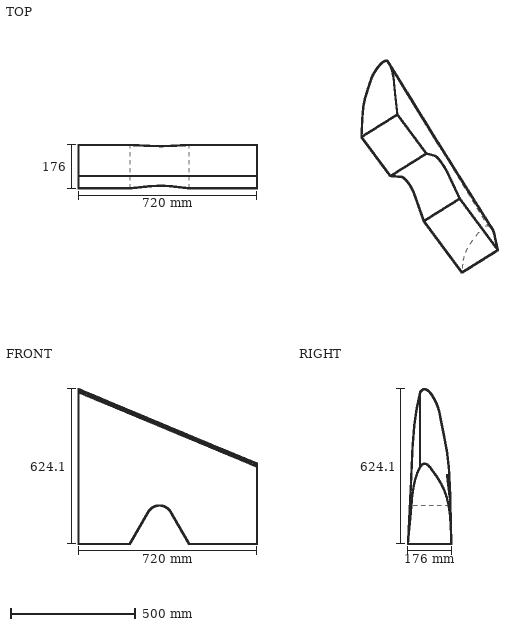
import cadquery as cq
import math

length = 720.0
width = 176.0
tall_height = 624.0
short_height = 324.0

ridge_y = -22.0
crease_y = -38.0
crease_drop = 11.5
shoulder_y = 14.5
shoulder_drop = 32.0

back_flank = [(50.0, 0.81), (69.0, 0.64), (83.0, 0.36)]
front_flank = [(-57.0, 0.85), (-75.5, 0.405), (-82.0, 0.2)]

notch_center_x = 327.0
notch_width = 239.0
notch_half_angle = math.radians(30)
notch_radius = 52.0


def end_profile(x, height):
    """Cross-section at one end: flat base, two curved flanks and a rounded nose."""
    shoulder_z = height - shoulder_drop
    crease_z = height - crease_drop
    back_points = [(width / 2, 0)]
    back_points += [(y, share * shoulder_z) for y, share in reversed(back_flank)]
    back_points += [(shoulder_y, shoulder_z), (ridge_y, height), (crease_y, crease_z)]
    front_points = [(y, share * crease_z) for y, share in front_flank]
    front_points.append((-width / 2, 0))
    profile = (
        cq.Workplane("YZ", origin=(x, 0, 0))
        .moveTo(*back_points[0])
        .spline(back_points[1:], includeCurrent=True)
        .spline(front_points, includeCurrent=True)
        .close()
    )
    return profile.val()


def notch():
    """Cutter with sloping sides tangent to a round top."""
    half_width = notch_width / 2
    apex_z = half_width / math.tan(notch_half_angle)
    arc_center_z = apex_z - notch_radius / math.sin(notch_half_angle)
    tangent_x = notch_radius * math.cos(notch_half_angle)
    tangent_z = arc_center_z + notch_radius * math.sin(notch_half_angle)
    return (
        cq.Workplane("XZ", origin=(notch_center_x, 0, 0))
        .moveTo(-half_width, 0)
        .lineTo(-tangent_x, tangent_z)
        .threePointArc((0, arc_center_z + notch_radius), (tangent_x, tangent_z))
        .lineTo(half_width, 0)
        .close()
        .extrude(width, both=True)
    )


body = cq.Solid.makeLoft(
    [end_profile(0, tall_height), end_profile(length, short_height)], ruled=True
)
result = cq.Workplane("XY").add(body).cut(notch())